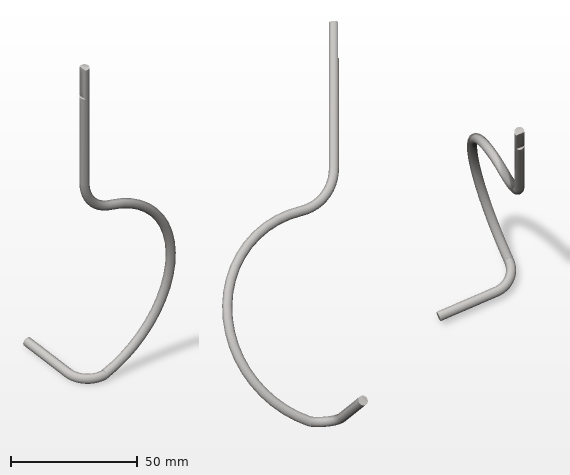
import cadquery as cq
import math

overall_height = 167.0
wire_diameter = 4.0
foot_reach = 35.0
foot_bend_radius = 10.0
bow_radius = 44.8
neck_radius = 20.0
hook_depth = 48.6
flat_length = 14.9
flat_depth = 1.0

wire_radius = wire_diameter / 2
bow_center_y = hook_depth - wire_diameter - bow_radius
bow_end_y = foot_bend_radius
bow_drop = math.sqrt(bow_radius**2 - (bow_end_y - bow_center_y)**2)

end_angle = math.atan2(-bow_drop, bow_end_y - bow_center_y)
bow_end_half_height = wire_radius / math.sin(-end_angle)
bow_center_z = bow_drop + bow_end_half_height - wire_radius

center_distance = bow_radius + neck_radius
neck_rise = math.sqrt(center_distance**2 - (neck_radius - bow_center_y)**2)
shank_bottom_z = bow_center_z + neck_rise
join_angle = math.atan2(neck_rise, neck_radius - bow_center_y)
shank_top_z = overall_height - wire_radius


def bow_point(angle):
    """Point on the bow axis in YZ coordinates, at an angle from +Y."""
    return (
        bow_center_y + bow_radius * math.cos(angle),
        bow_center_z + bow_radius * math.sin(angle),
    )


def make_hook():
    """Shank, neck and bow swept in the YZ plane, trimmed where the foot begins."""
    trim_angle = end_angle - wire_diameter / bow_radius
    neck_middle_angle = math.pi + join_angle / 2
    neck_middle = (
        neck_radius + neck_radius * math.cos(neck_middle_angle),
        shank_bottom_z + neck_radius * math.sin(neck_middle_angle),
    )
    path = (
        cq.Workplane("YZ")
        .moveTo(0, shank_top_z)
        .lineTo(0, shank_bottom_z)
        .threePointArc(neck_middle, bow_point(join_angle))
        .threePointArc(bow_point((join_angle + trim_angle) / 2), bow_point(trim_angle))
    )
    hook = cq.Workplane("XY", origin=(0, 0, shank_top_z)).circle(wire_radius).sweep(path)
    trim = cq.Workplane("XY").box(
        2 * wire_diameter, 2 * wire_diameter, 4 * wire_diameter
    ).translate((0, bow_end_y - wire_diameter, 0))
    return hook.cut(trim)


def make_foot():
    """Horizontal straight foot with its quarter bend into the hook plane."""
    bend_middle = foot_bend_radius * (1 - math.sqrt(0.5))
    path = (
        cq.Workplane("XY")
        .moveTo(-foot_reach, 0)
        .lineTo(-foot_bend_radius, 0)
        .threePointArc((-bend_middle, bend_middle), (0, foot_bend_radius))
    )
    return cq.Workplane("YZ", origin=(-foot_reach, 0, 0)).circle(wire_radius).sweep(path)


def make_flat_cutter():
    """Block that removes the flat on the -Y side of the shank end."""
    return (
        cq.Workplane("XY", origin=(0, -wire_radius, shank_top_z - flat_length))
        .rect(2 * wire_diameter, 2 * flat_depth)
        .extrude(2 * flat_length)
    )


result = make_hook().union(make_foot()).cut(make_flat_cutter())